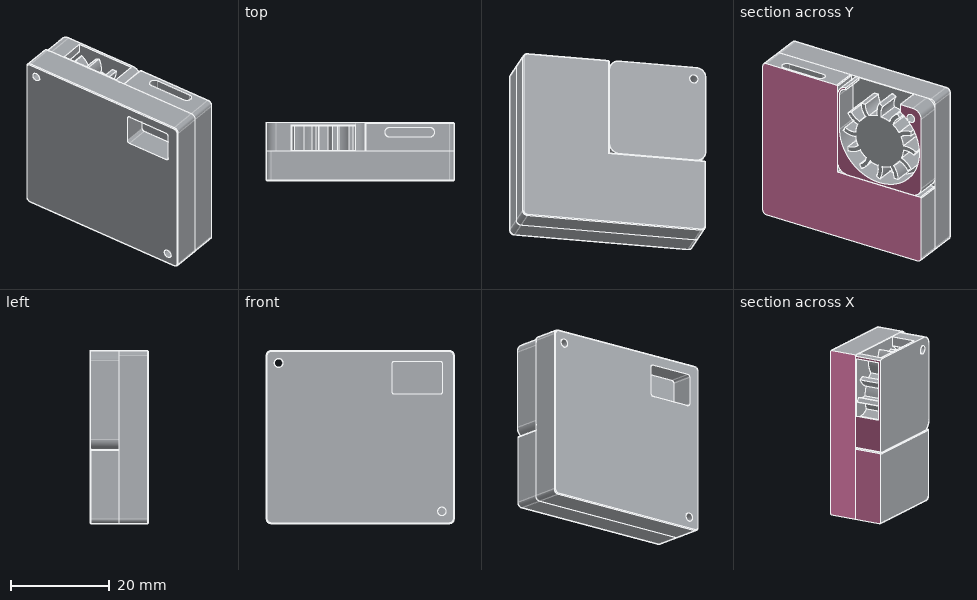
import cadquery as cq
import math

width = 38.0
depth = 11.8
height = 35.0
case_corner_radius = 1.0
edge_chamfer = 0.2

base_depth = 6.0
rear_depth = depth - base_depth
mount_hole_diameter = 1.7
mount_hole_inset = 2.5
window_width = 10.2
window_height = 6.65
window_right_inset = 2.4
window_top_inset = 2.15
window_depth = 5.0
window_corner_radius = 0.5

slot_length = 10.05
slot_width = 1.98
slot_depth = 5.0
slot_center_x = 29.0
slot_rear_inset = 1.98
slot_center_y = depth - slot_rear_inset

blower_side = 20.0
blower_corner_radius = 1.98
blower_wall = 0.5
blower_front_wall = 0.15
outlet_left = 5.0
outlet_right = blower_side - blower_corner_radius
blower_center_x = blower_side / 2
blower_center_z = height - blower_side / 2
blower_bottom = height - blower_side
chamber_radius = blower_side / 2 - blower_wall
chamber_front = base_depth + blower_front_wall
chamber_depth = depth - blower_wall - chamber_front

impeller_radius = 8.47
hub_radius = 5.75
blade_root_radius = 4.8
blade_count = 12
blade_thickness = 1.0
blade_bow = 0.45
first_blade_tilt = 2.4
impeller_rear_gap = 0.2
impeller_depth = chamber_depth - impeller_rear_gap


def box(x_min, y_min, z_min, x_size, y_size, z_size):
    """Box given by its lowest corner and its sizes."""
    return cq.Workplane("XY").box(x_size, y_size, z_size, centered=False).translate((x_min, y_min, z_min))


def rod(x, z, radius, y_min, length):
    """Cylinder along Y."""
    return cq.Workplane("XZ", origin=(x, y_min, z)).circle(radius).extrude(-length)


def make_base():
    base = box(0, 0, 0, width, base_depth, height)
    base = base.edges("|Y").fillet(case_corner_radius)
    base = base.faces("<Y").chamfer(edge_chamfer)
    window = box(
        width - window_right_inset - window_width,
        0,
        height - window_top_inset - window_height,
        window_width,
        window_depth,
        window_height,
    )
    base = base.cut(window.edges("|Y").fillet(window_corner_radius))
    hole_radius = mount_hole_diameter / 2
    upper_hole = rod(mount_hole_inset, height - mount_hole_inset, hole_radius, 0, base_depth)
    lower_hole = rod(width - mount_hole_inset, mount_hole_inset, hole_radius, 0, base_depth)
    return base.cut(upper_hole).cut(lower_hole)


def make_cover():
    """L-shaped block that wraps the blower housing."""
    cover = box(0, base_depth, 0, width, rear_depth, height)
    cover = cover.edges("|Y").edges("<X and <Z or >X").fillet(case_corner_radius)
    cover = cover.cut(box(0, base_depth, blower_bottom, blower_side, rear_depth, blower_side))
    rear_middle_y = base_depth + rear_depth / 2
    for corner_x, corner_z in ((0, blower_bottom), (blower_side, height)):
        corner = cq.selectors.NearestToPointSelector((corner_x, rear_middle_y, corner_z))
        cover = cover.edges("|Y").edges(corner).chamfer(edge_chamfer)
    cover = cover.faces(">Y").chamfer(edge_chamfer)
    slot = (
        cq.Workplane("XY", origin=(slot_center_x, slot_center_y, height))
        .slot2D(slot_length, slot_width)
        .extrude(-slot_depth)
    )
    return cover.cut(slot)


def make_blower_housing():
    housing = box(0, base_depth, blower_bottom, blower_side, rear_depth, blower_side)
    housing = housing.edges("|Y").fillet(blower_corner_radius)
    housing = housing.cut(
        rod(blower_center_x, blower_center_z, chamber_radius, chamber_front, chamber_depth)
    )
    passage = box(
        blower_center_x,
        chamber_front,
        blower_center_z,
        chamber_radius,
        chamber_depth,
        chamber_radius,
    )
    passage = passage.edges("|Y and >X and >Z").fillet(blower_corner_radius - blower_wall)
    housing = housing.cut(passage)
    outlet = box(
        outlet_left,
        chamber_front,
        blower_center_z,
        outlet_right - outlet_left,
        chamber_depth,
        height - blower_center_z,
    )
    mount_hole = rod(
        mount_hole_inset,
        height - mount_hole_inset,
        mount_hole_diameter / 2,
        base_depth,
        rear_depth,
    )
    return housing.cut(outlet).cut(mount_hole)


def make_blade():
    """Bowed blade pointing up from the impeller axis, with its root buried in the hub."""
    half_length = (impeller_radius - blade_root_radius) / 2
    middle_height = blade_root_radius + half_length
    bow_radius = (half_length**2 + blade_bow**2) / (2 * blade_bow)
    bow_center_x = blade_bow - bow_radius
    inner_radius = bow_radius - blade_thickness / 2
    outer_radius = bow_radius + blade_thickness / 2
    end_angle = math.asin(half_length / bow_radius)

    def bow_point(radius, angle):
        return (bow_center_x + radius * math.cos(angle), middle_height + radius * math.sin(angle))

    return (
        cq.Workplane("XZ", origin=(blower_center_x, chamber_front, blower_center_z))
        .moveTo(*bow_point(inner_radius, -end_angle))
        .threePointArc(bow_point(inner_radius, 0), bow_point(inner_radius, end_angle))
        .lineTo(*bow_point(outer_radius, end_angle))
        .threePointArc(bow_point(outer_radius, 0), bow_point(outer_radius, -end_angle))
        .close()
        .extrude(-impeller_depth)
    )


def make_impeller():
    impeller = rod(blower_center_x, blower_center_z, hub_radius, chamber_front, impeller_depth)
    blade = make_blade()
    axis_start = (blower_center_x, 0, blower_center_z)
    axis_end = (blower_center_x, 1, blower_center_z)
    for index in range(blade_count):
        angle = index * 360 / blade_count - first_blade_tilt
        impeller = impeller.union(blade.rotate(axis_start, axis_end, angle))
    return impeller


base = make_base()
cover = make_cover()
blower_housing = make_blower_housing()
impeller = make_impeller()

result = cq.Compound.makeCompound(
    [base.val(), cover.val(), blower_housing.val(), impeller.val()]
)